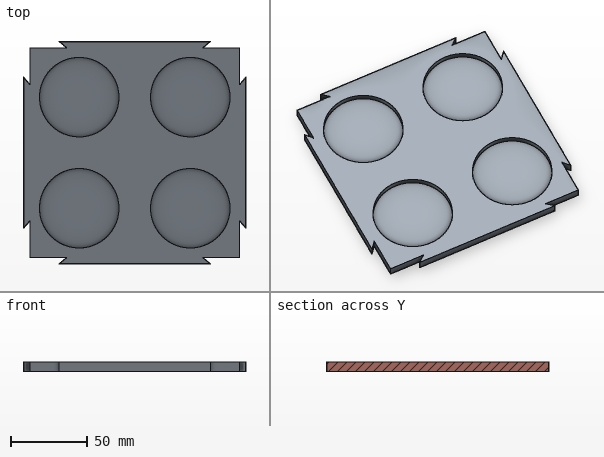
import cadquery as cq

overall_size = 145.3
thickness = 6.4
tail_depth = 4.0
body_size = overall_size - 2 * tail_depth

tail_outer_width = 98.8
tail_root_width = 89.2

pocket_diameter = 52.0
pocket_spacing = overall_size / 2
pocket_depth = 4.0


def dovetail():
    """Tongue on the +Y edge, widening outward."""
    root_y = body_size / 2
    tip_y = overall_size / 2
    return (
        cq.Workplane("XY")
        .moveTo(0, 0)
        .lineTo(-tail_root_width / 2, root_y)
        .lineTo(-tail_outer_width / 2, tip_y)
        .lineTo(tail_outer_width / 2, tip_y)
        .lineTo(tail_root_width / 2, root_y)
        .close()
        .extrude(thickness)
    )


plate = cq.Workplane("XY").box(body_size, body_size, thickness, centered=(True, True, False))
for angle in (0, 90, 180, 270):
    plate = plate.union(dovetail().rotate((0, 0, 0), (0, 0, 1), angle))

pockets = (
    cq.Workplane("XY", origin=(0, 0, thickness - pocket_depth))
    .rarray(pocket_spacing, pocket_spacing, 2, 2)
    .circle(pocket_diameter / 2)
    .extrude(pocket_depth)
)

result = plate.cut(pockets)